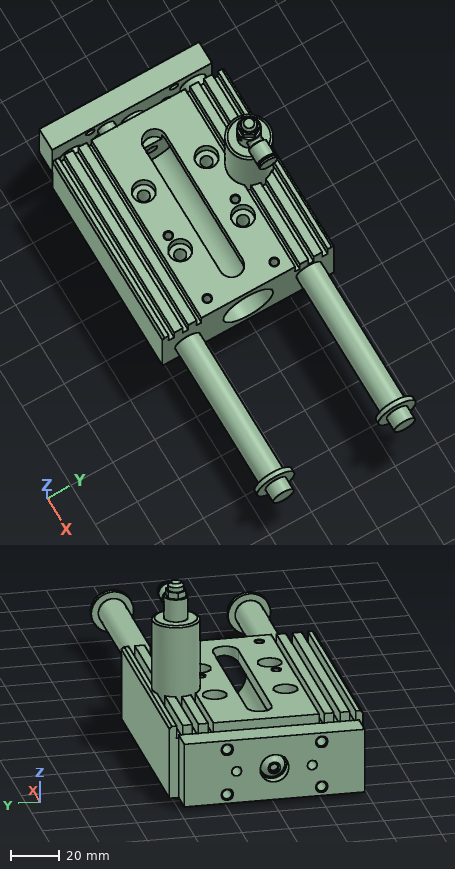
import cadquery as cq
import math


total_length = 185.0

housing_start = 15.7
housing_length = 90.5
housing_width = 82.0
housing_height = 32.0
edge_chamfer = 1.1
housing_end = housing_start + housing_length
axis_height = housing_height / 2

groove_bands = [(22.4, 24.6), (28.7, 31.3), (35.3, 38.0)]
groove_depth = 5.5

bore_dia = 23.7
bore_start = 26.8
slot_width = 10.5
slot_start = 23.9
slot_end = 97.7
slot_depth = 9.2

mount_dia = 5.2
mount_head_dia = 10.0
mount_head_depth = 5.5
mount_pitch = 30.0
mount_centre_x = 61.0

top_thread_dia = 3.3
top_thread_mouth_dia = 4.0
top_thread_depth = 9.2
drill_point_angle = 120
top_thread_pitch = 32.0
top_thread_centre_x = 84.0

rod_dia = 12.0
rod_pitch = 57.9
rod_height_step = 6.0
washer_dia = 18.0
washer_start = 176.5
washer_thickness = 2.2
stub_dia = 10.0

plate_thickness = 10.7
plate_width = 76.4
plate_height = 28.0
plate_bottom = (housing_height - plate_height) / 2
plate_thread_dia = 4.0
plate_thread_mouth_dia = 5.0
plate_thread_pitch_y = 40.0
plate_thread_pitch_z = 20.0
dowel_dia = 4.0
dowel_pitch = 32.0

screw_recess_dia = 12.0
screw_recess_depth = 4.0
screw_head_dia = 10.5
screw_head_height = 3.7
screw_tip_dia = 5.0
screw_socket_width = 3.5
screw_socket_depth = 1.8

piston_rod_dia = 5.2
collar_dia = 10.5
collar_length = 2.4
stop_pin_dia = 8.0
stop_pin_y = -12.5
stop_pin_z = 22.5

clamp_x = 57.0
clamp_y = rod_pitch / 2
clamp_dia = 20.0
clamp_top = 63.3
clamp_chamfer_width = 1.1
clamp_chamfer_height = 0.5

stem_dia = 10.0
stem_top = 73.0
hex_across_corners = 8.9
hex_top = 75.8
cap_dia = 6.7
cap_shoulder = 77.9
cap_top = 79.2
cap_tip_dia = 4.5
outlet_height = 69.0
neck_dia = 6.5
neck_end = 5.2
neck_flare_dia = 7.2
outlet_start = 7.0
outlet_dia = 8.5
outlet_end = 16.1
outlet_groove_start = 14.2
outlet_groove_width = 0.7
outlet_groove_depth = 0.4
vent_dia = 3.5
vent_depth = 1.0
vent_pilot_dia = 2.2
vent_pilot_depth = 2.2


def rod_x(start, end, dia, y, z):
    """Round bar along X."""
    return cq.Workplane("YZ", origin=(start, y, z)).circle(dia / 2).extrude(end - start)


def rod_z(bottom, top, dia, x, y):
    """Round bar along Z."""
    return cq.Workplane("XY", origin=(x, y, bottom)).circle(dia / 2).extrude(top - bottom)


def cone(start_dia, end_dia, length, start, direction):
    """Truncated cone that runs from start along direction."""
    return cq.Workplane(
        cq.Solid.makeCone(start_dia / 2, end_dia / 2, length, cq.Vector(*start), cq.Vector(*direction))
    )


def threaded_hole(mouth, direction, mouth_dia, core_dia, depth):
    """Blind hole with a 45 degree countersink and a conical drill point."""
    step = cq.Vector(*direction)
    mouth_depth = (mouth_dia - core_dia) / 2
    core = cq.Workplane(cq.Solid.makeCylinder(core_dia / 2, depth, cq.Vector(*mouth), step))
    tip_start = (cq.Vector(*mouth) + step * depth).toTuple()
    countersink = cone(mouth_dia, core_dia, mouth_depth, mouth, direction)
    tip_length = core_dia / 2 / math.tan(math.radians(drill_point_angle / 2))
    drill_point = cone(core_dia, 0, tip_length, tip_start, direction)
    return core.union(countersink).union(drill_point)


def square_pattern(centre_x, pitch):
    """Four XY places around (centre_x, 0)."""
    half = pitch / 2
    return [(centre_x + i * half, j * half) for i in (-1, 1) for j in (-1, 1)]


guide_rod_places = [
    (side * rod_pitch / 2, axis_height + side * rod_height_step / 2) for side in (-1, 1)
]


def housing_block():
    block = cq.Workplane("XY", origin=(housing_start, 0, 0)).box(
        housing_length, housing_width, housing_height, centered=(False, True, False)
    )
    block = block.edges("|X and >Z").chamfer(edge_chamfer)
    for inner, outer in groove_bands:
        for side in (-1, 1):
            groove = cq.Workplane("XY").box(housing_length, outer - inner, groove_depth)
            block = block.cut(groove.translate((
                housing_start + housing_length / 2,
                side * (inner + outer) / 2,
                housing_height - groove_depth / 2,
            )))
    return block


def bore_and_slot():
    bore = rod_x(bore_start, housing_end, bore_dia, 0, axis_height)
    slot = (
        cq.Workplane("XY", origin=((slot_start + slot_end) / 2, 0, housing_height))
        .slot2D(slot_end - slot_start, slot_width)
        .extrude(-slot_depth)
    )
    return bore.union(slot)


def mounting_hole(x, y):
    shank = rod_z(0, housing_height, mount_dia, x, y)
    head = rod_z(housing_height - mount_head_depth, housing_height, mount_head_dia, x, y)
    return shank.union(head)


def clamping_cylinder():
    base = housing_height - groove_depth
    shoulder = clamp_top - clamp_chamfer_height
    barrel = rod_z(base, shoulder, clamp_dia, clamp_x, clamp_y)
    top_dia = clamp_dia - 2 * clamp_chamfer_width
    chamfer = cone(clamp_dia, top_dia, clamp_chamfer_height, (clamp_x, clamp_y, shoulder), (0, 0, 1))
    return barrel.union(chamfer)


def fitting_stem():
    stem = rod_z(clamp_top, stem_top, stem_dia, clamp_x, clamp_y)
    hexagon = (
        cq.Workplane("XY", origin=(clamp_x, clamp_y, stem_top))
        .polygon(6, hex_across_corners)
        .extrude(hex_top - stem_top)
    )
    cap = rod_z(hex_top, cap_shoulder, cap_dia, clamp_x, clamp_y)
    tip = cone(cap_dia, cap_tip_dia, cap_top - cap_shoulder, (clamp_x, clamp_y, cap_shoulder), (0, 0, 1))
    return stem.union(hexagon).union(cap).union(tip)


def fitting_outlet():
    def along_outlet(start, end, dia):
        return rod_x(clamp_x + start, clamp_x + end, dia, clamp_y, outlet_height)

    neck = along_outlet(0, neck_end, neck_dia)
    flare_start = (clamp_x + neck_end, clamp_y, outlet_height)
    flare = cone(neck_dia, neck_flare_dia, outlet_start - neck_end, flare_start, (1, 0, 0))
    socket = along_outlet(outlet_start, outlet_end, outlet_dia)
    groove_end = outlet_groove_start + outlet_groove_width
    groove = along_outlet(outlet_groove_start, groove_end, outlet_dia).cut(
        along_outlet(outlet_groove_start, groove_end, outlet_dia - 2 * outlet_groove_depth)
    )
    return neck.union(flare).union(socket).cut(groove)


def fitting_vent():
    """Stepped hole in the -Y side of the fitting stem."""
    mouth = cq.Vector(clamp_x, clamp_y - stem_dia / 2, outlet_height)
    inward = cq.Vector(0, 1, 0)
    wide = cq.Solid.makeCylinder(vent_dia / 2, vent_depth, mouth, inward)
    pilot = cq.Solid.makeCylinder(vent_pilot_dia / 2, vent_pilot_depth, mouth, inward)
    return cq.Workplane(wide).union(cq.Workplane(pilot))


def make_housing():
    body = housing_block().cut(bore_and_slot())
    for x, y in square_pattern(mount_centre_x, mount_pitch):
        body = body.cut(mounting_hole(x, y))
    for x, y in square_pattern(top_thread_centre_x, top_thread_pitch):
        body = body.cut(threaded_hole(
            (x, y, housing_height), (0, 0, -1), top_thread_mouth_dia, top_thread_dia, top_thread_depth
        ))
    body = body.union(clamping_cylinder())
    body = body.union(fitting_stem()).union(fitting_outlet()).cut(fitting_vent())
    for y, z in guide_rod_places:
        body = body.cut(rod_x(housing_start, housing_end, rod_dia, y, z))
    return body.cut(rod_x(housing_start, bore_start, piston_rod_dia, 0, axis_height))


def front_plate():
    plate = cq.Workplane("XY", origin=(0, 0, plate_bottom)).box(
        plate_thickness, plate_width, plate_height, centered=(False, True, False)
    )
    mouth_depth = (plate_thread_mouth_dia - plate_thread_dia) / 2
    for side_y in (-1, 1):
        plate = plate.cut(rod_x(0, plate_thickness, dowel_dia, side_y * dowel_pitch / 2, axis_height))
        for side_z in (-1, 1):
            y = side_y * plate_thread_pitch_y / 2
            z = axis_height + side_z * plate_thread_pitch_z / 2
            plate = plate.cut(rod_x(0, plate_thickness, plate_thread_dia, y, z))
            mouth = cone(plate_thread_mouth_dia, plate_thread_dia, mouth_depth, (0, y, z), (1, 0, 0))
            plate = plate.cut(mouth)
    return plate.cut(rod_x(0, screw_recess_depth, screw_recess_dia, 0, axis_height))


def screw_head():
    """Domed head on the recess floor, facing -X, with a hexagon socket."""
    rim = screw_head_dia / 2
    tip = screw_tip_dia / 2
    centre = (tip ** 2 + screw_head_height ** 2 - rim ** 2) / (2 * screw_head_height)
    radius = math.hypot(rim, centre)
    mid_height = screw_head_height / 2
    mid_radius = math.sqrt(radius ** 2 - (mid_height - centre) ** 2)
    floor = screw_recess_depth
    head = (
        cq.Workplane("XY")
        .moveTo(floor, 0)
        .lineTo(floor, rim)
        .threePointArc((floor - mid_height, mid_radius), (floor - screw_head_height, tip))
        .lineTo(floor - screw_head_height, 0)
        .close()
        .revolve(360, (0, 0, 0), (1, 0, 0))
        .translate((0, 0, axis_height))
    )
    socket = (
        cq.Workplane("YZ", origin=(floor - screw_head_height, 0, axis_height))
        .polygon(6, screw_socket_width, circumscribed=True)
        .extrude(screw_socket_depth)
    )
    return head.cut(socket)


def guide_rod(y, z):
    washer_end = washer_start + washer_thickness
    shaft = rod_x(plate_thickness, washer_start, rod_dia, y, z)
    washer = rod_x(washer_start, washer_end, washer_dia, y, z)
    stub = rod_x(washer_end, total_length, stub_dia, y, z)
    return shaft.union(washer).union(stub)


def piston_rod():
    collar = rod_x(plate_thickness, plate_thickness + collar_length, collar_dia, 0, axis_height)
    return collar.union(rod_x(plate_thickness, bore_start, piston_rod_dia, 0, axis_height))


def make_slide():
    body = front_plate().union(screw_head()).union(piston_rod())
    body = body.union(rod_x(plate_thickness, housing_start, stop_pin_dia, stop_pin_y, stop_pin_z))
    for y, z in guide_rod_places:
        body = body.union(guide_rod(y, z))
    return body


housing = make_housing()
slide = make_slide()
result = cq.Compound.makeCompound([housing.val(), slide.val()])